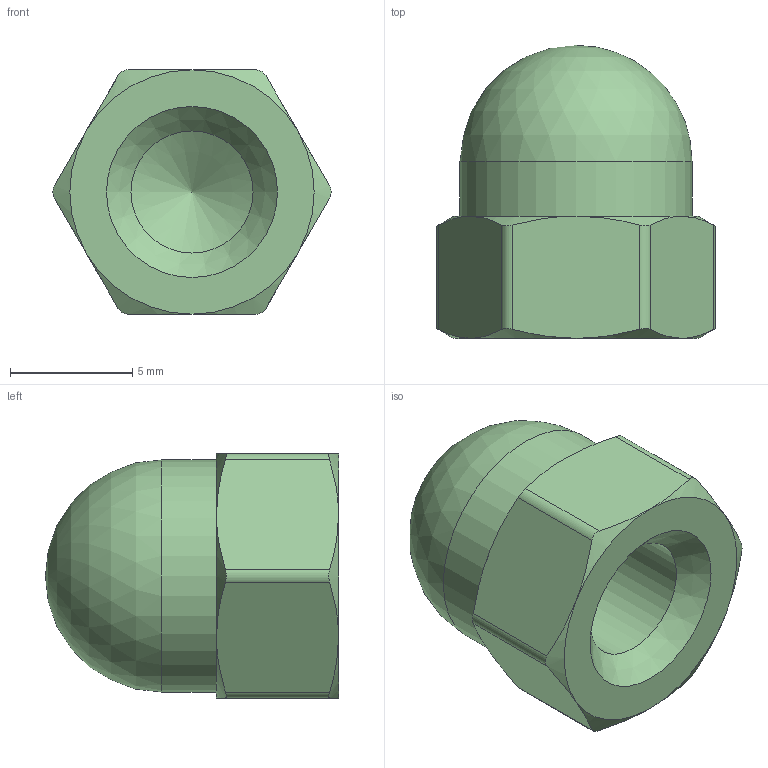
import cadquery as cq
import math

SIDES = 6
ACROSS_FLATS = 10.0
HEX_LENGTH = 5.0
CORNER_RADIUS = 0.5
CHAMFER_ANGLE = 30.0
DOME_DIAMETER = 9.5
TOTAL_LENGTH = 12.0
BORE_DIAMETER = 5.0
BORE_DEPTH = 8.0
DRILL_POINT_ANGLE = 120.0
MOUTH_DIAMETER = 7.0

flat_radius = ACROSS_FLATS / 2
corner_distance = flat_radius / math.cos(math.pi / SIDES)
dome_radius = DOME_DIAMETER / 2
collar_end = TOTAL_LENGTH - dome_radius
bore_radius = BORE_DIAMETER / 2
mouth_radius = MOUTH_DIAMETER / 2
mouth_depth = mouth_radius - bore_radius
drill_point_length = bore_radius / math.tan(math.radians(DRILL_POINT_ANGLE / 2))


def revolve_about_y(profile):
    """Turn a closed half profile in the XY plane a full circle about the Y axis."""
    return profile.close().revolve(360, (0, 0, 0), (0, 1, 0))


def make_hexagon():
    """Hexagonal prism with rounded corners, flats facing up and down along Z."""
    return (
        cq.Workplane("XZ")
        .polygon(SIDES, 2 * corner_distance)
        .extrude(-HEX_LENGTH)
        .edges("|Y")
        .fillet(CORNER_RADIUS)
    )


def make_chamfer_envelope():
    """Turned blank whose conical ends trim the hexagon corners on both faces."""
    chamfer_length = (corner_distance - flat_radius) * math.tan(math.radians(CHAMFER_ANGLE))
    return revolve_about_y(
        cq.Workplane("XY")
        .lineTo(flat_radius, 0)
        .lineTo(corner_distance, chamfer_length)
        .lineTo(corner_distance, HEX_LENGTH - chamfer_length)
        .lineTo(flat_radius, HEX_LENGTH)
        .lineTo(0, HEX_LENGTH)
    )


def make_cap():
    """Cylindrical collar closed by a hemispherical dome."""
    diagonal = dome_radius * math.sqrt(0.5)
    return revolve_about_y(
        cq.Workplane("XY")
        .moveTo(0, HEX_LENGTH)
        .lineTo(dome_radius, HEX_LENGTH)
        .lineTo(dome_radius, collar_end)
        .threePointArc((diagonal, collar_end + diagonal), (0, TOTAL_LENGTH))
    )


def make_bore():
    """Blind bore with a flared mouth and a conical drill point."""
    return revolve_about_y(
        cq.Workplane("XY")
        .lineTo(mouth_radius, 0)
        .lineTo(bore_radius, mouth_depth)
        .lineTo(bore_radius, BORE_DEPTH)
        .lineTo(0, BORE_DEPTH + drill_point_length)
    )


hexagon = make_hexagon().intersect(make_chamfer_envelope())
result = hexagon.union(make_cap()).cut(make_bore())